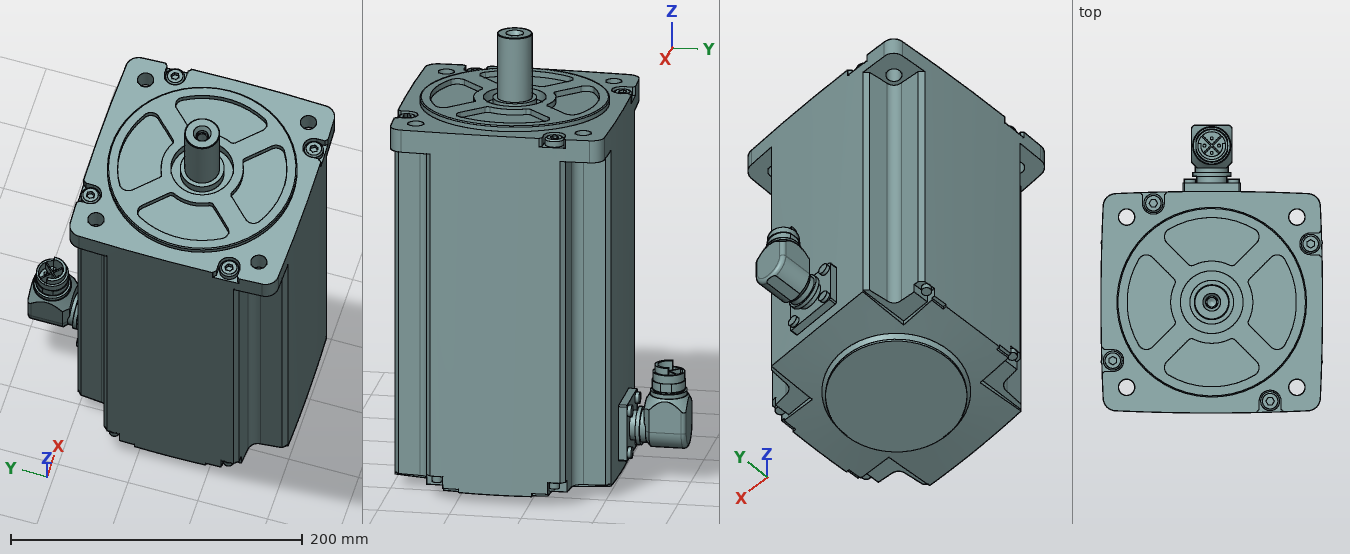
import cadquery as cq
import math

HALF_WIDTH = 76.0
CORNER_RADIUS = 9.0
CORNER_START = 65.5
SIDE_BOW = 1.5
FLANGE_THICKNESS = 15.9
BOTTOM_Z = -266.5

NOTCH_EDGE = 45.2
NOTCH_CHAMFER = (72.1, 48.5)
NOTCH_FILLET_CENTER = 57.0
NOTCH_FILLET_RADIUS = 7.0

UNDERSIDE_Z_AT_SIDE = -258.9
UNDERSIDE_SLOPE = 0.09
UNDERSIDE_OUTER_RADIUS = 110.0
SHOULDER_RADIUS = 51.0
FOOT_RADIUS = 48.5
FOOT_TOP_Z = -264.5

PILOT_DIAMETER = 130.0
PILOT_HEIGHT = 4.0
PILOT_CHAMFER = 0.8
SEAL_RECESS_DIAMETER = 43.0
SEAL_RECESS_DEPTH = 7.0
COLLAR_DIAMETER = 30.0
COLLAR_HEIGHT = 6.8
SHAFT_DIAMETER = 24.0
SHAFT_TOP_Z = 50.0
SHAFT_CHAMFER = 0.5
CENTER_MOUTH_DIAMETER = 12.2
CENTER_RELIEF_DIAMETER = 8.4
CENTER_RELIEF_DEPTH = 6.0
CENTER_BORE_DIAMETER = 6.65
CENTER_BORE_DEPTH = 22.0
CENTER_CONE_HALF_ANGLE = 30.0
DRILL_HALF_ANGLE = 59.0

POCKET_OUTER_RADIUS = 58.0
POCKET_INNER_RADIUS = 28.2
POCKET_RIB_WIDTH = 14.0
POCKET_OUTER_FILLET = 6.0
POCKET_INNER_FILLET = 3.0
POCKET_DEPTH = 4.0

BOLT_CIRCLE_DIAMETER = 165.0
BOLT_HOLE_DIAMETER = 11.0
SCREW_OFFSET = (40.0, -67.8)
SCREW_SEAT_WIDTH = 15.0
SCREW_SEAT_DEPTH = 6.2
SCREW_SEAT_MOUTH_WIDTH = 18.8
SCREW_SEAT_FLARE_LENGTH = 2.0
SCREW_HEAD_DIAMETER = 13.0
SCREW_HEAD_TOP_Z = -1.0
SCREW_HEAD_CHAMFER = 1.2
SCREW_HEX_FLATS = 5.0
SCREW_HEX_DEPTH = 3.0

REAR_SEAT_INNER_X = 68.5
REAR_SEAT_INNER_Y = 36.4
REAR_SEAT_TOP_Z = -247.9
COVER_JOINT_Z = -256.2
REAR_HEAD_DIAMETER = 7.0
REAR_HEAD_HEIGHT = 4.3
COVER_RELIEF_INNER_Y = 25.5
COVER_RELIEF_DEPTH = 3.0

CONNECTOR_Z = -227.8
CONNECTOR_END_Y = 121.39
BASE_SIZE = (39.6, 40.4)
BASE_TOP_Y = 81.7
BASE_OVERLAP = 1.0
BASE_CHAMFER = 1.0
BASE_SCREW_OFFSET = 15.0
BASE_SCREW_DIAMETER = 8.0
BASE_SCREW_TOP_Y = 84.4
NECK_STEPS = ((20.6, 86.2), (26.4, 89.0), (22.9, 93.0))
ELBOW_RADIUS = 14.0
ELBOW_START_Y = 91.9
ELBOW_TOP_Z = -203.6
ELBOW_BOTTOM_Z = -241.1
ELBOW_OUTER_FILLET = 3.0
ELBOW_INNER_CHAMFER = 4.0
OUTLET_Y = 107.3
CONE_TOP_RADIUS = 13.1
CONE_SLOPE = 0.6
OUTLET_STEPS = ((25.2, -200.6), (21.95, -199.6), (22.9, -193.3), (21.95, -187.4))
NUT_STEP = 2
NUT_FLAT_X = 10.8
SOCKET_DIAMETER = 19.0
SOCKET_DEPTH = 8.0
CROSS_WALL = 0.99
KEY_TOP_Z = -182.6
KEY_INNER_DIAMETER = 15.0
KEY_EDGE_Y = 108.6
PIN_DIAMETER = 1.99
PIN_HEIGHT = 5.0
PIN_CIRCLE_DIAMETER = 10.0

OVERCUT = 10.0


def bowed(distance):
    """Half width of the housing at a distance from the middle of a side."""
    radius = (CORNER_START**2 + SIDE_BOW**2) / (2 * SIDE_BOW)
    return HALF_WIDTH - radius + math.sqrt(radius**2 - distance**2)


def turned(point, quarter):
    """Rotate an XY point about Z by quarter turns."""
    x, y = point
    for _ in range(quarter):
        x, y = -y, x
    return (x, y)


def spun(feature, quarter):
    """Rotate a solid about Z by quarter turns."""
    return feature.rotate((0, 0, 0), (0, 0, 1), 90 * quarter)


def bar(diameter, z_low, z_high, x=0, y=0):
    """Round bar along Z."""
    return cq.Workplane("XY", origin=(x, y, z_low)).circle(diameter / 2).extrude(z_high - z_low)


def y_bar(diameter, y_low, y_high, x=0, z=CONNECTOR_Z):
    """Round bar along Y."""
    plane = cq.Workplane("XZ", origin=(x, y_low, z))
    return plane.circle(diameter / 2).extrude(-(y_high - y_low))


def block(x_range, y_range, z_range):
    """Rectangular block between two limits on each axis."""
    sizes = [high - low for low, high in (x_range, y_range, z_range)]
    corner = (x_range[0], y_range[0], z_range[0])
    return cq.Workplane("XY").box(*sizes, centered=False).translate(corner)


def make_flange():
    edge = bowed(CORNER_START)
    reach = CORNER_START + CORNER_RADIUS * math.sqrt(0.5)
    outline = cq.Workplane("XY", origin=(0, 0, -FLANGE_THICKNESS)).moveTo(edge, -CORNER_START)
    for quarter in range(4):
        outline = outline.threePointArc(
            turned((HALF_WIDTH, 0), quarter), turned((edge, CORNER_START), quarter)
        )
        outline = outline.threePointArc(
            turned((reach, reach), quarter), turned((CORNER_START, edge), quarter)
        )
    flange = outline.close().extrude(FLANGE_THICKNESS)
    hole = BOLT_CIRCLE_DIAMETER / 2 * math.sqrt(0.5)
    places = [turned((hole, hole), quarter) for quarter in range(4)]
    holes = cq.Workplane("XY").pushPoints(places).circle(BOLT_HOLE_DIAMETER / 2)
    return flange.cut(holes.extrude(-FLANGE_THICKNESS))


def make_housing():
    side = bowed(NOTCH_EDGE)
    center = NOTCH_FILLET_CENTER
    tangent = center - NOTCH_FILLET_RADIUS
    deepest = center - NOTCH_FILLET_RADIUS * math.sqrt(0.5)
    outline = cq.Workplane("XY", origin=(0, 0, BOTTOM_Z)).moveTo(side, -NOTCH_EDGE)
    for quarter in range(4):
        outline = outline.threePointArc(
            turned((HALF_WIDTH, 0), quarter), turned((side, NOTCH_EDGE), quarter)
        )
        outline = outline.lineTo(*turned(NOTCH_CHAMFER, quarter))
        outline = outline.lineTo(*turned((center, tangent), quarter))
        outline = outline.threePointArc(
            turned((deepest, deepest), quarter), turned((tangent, center), quarter)
        )
        outline = outline.lineTo(*turned(NOTCH_CHAMFER[::-1], quarter))
        outline = outline.lineTo(*turned((NOTCH_EDGE, side), quarter))
    housing = outline.close().extrude(-FLANGE_THICKNESS - BOTTOM_Z)
    return housing.intersect(make_underside_envelope())


def make_underside_envelope():
    """Solid of revolution that shapes the conical underside and the foot."""
    def underside_z(radius):
        return UNDERSIDE_Z_AT_SIDE + UNDERSIDE_SLOPE * (radius - HALF_WIDTH)

    profile = [
        (0, BOTTOM_Z),
        (FOOT_RADIUS, BOTTOM_Z),
        (FOOT_RADIUS, FOOT_TOP_Z),
        (SHOULDER_RADIUS, underside_z(SHOULDER_RADIUS)),
        (UNDERSIDE_OUTER_RADIUS, underside_z(UNDERSIDE_OUTER_RADIUS)),
        (UNDERSIDE_OUTER_RADIUS, 0),
        (0, 0),
    ]
    return cq.Workplane("XZ").polyline(profile).close().revolve(360, (0, 0), (0, 1))


def make_pilot():
    pilot = bar(PILOT_DIAMETER, 0, PILOT_HEIGHT)
    return pilot.faces(">Z").edges().chamfer(PILOT_CHAMFER)


def make_face_pocket():
    """Sector-shaped pocket on the +Y side of the pilot face."""
    floor = PILOT_HEIGHT - POCKET_DEPTH
    sector = bar(2 * POCKET_OUTER_RADIUS, floor, PILOT_HEIGHT)
    sector = sector.cut(bar(2 * POCKET_INNER_RADIUS, floor, PILOT_HEIGHT))
    apex = POCKET_RIB_WIDTH * math.sqrt(0.5)
    far = PILOT_DIAMETER
    wedge = cq.Workplane("XY", origin=(0, 0, floor))
    wedge = wedge.polyline([(0, apex), (far, apex + far), (-far, apex + far)]).close()
    sector = sector.intersect(wedge.extrude(POCKET_DEPTH))
    middle_y = (POCKET_OUTER_RADIUS + POCKET_INNER_RADIUS) / 2
    zone = cq.selectors.BoxSelector
    outer = zone((-far, middle_y, -far), (far, far, far))
    inner = zone((-far, 0, -far), (far, middle_y - POCKET_OUTER_FILLET, far))
    sector = sector.edges("|Z").edges(outer).fillet(POCKET_OUTER_FILLET)
    return sector.edges("|Z").edges(inner).fillet(POCKET_INNER_FILLET)


def make_shaft():
    collar_low = PILOT_HEIGHT - SEAL_RECESS_DEPTH
    shaft = bar(SHAFT_DIAMETER, collar_low, SHAFT_TOP_Z)
    shaft = shaft.faces(">Z").edges().chamfer(SHAFT_CHAMFER)
    shaft = shaft.union(bar(COLLAR_DIAMETER, collar_low, collar_low + COLLAR_HEIGHT))
    return shaft.cut(make_center_hole())


def make_center_hole():
    mouth = CENTER_MOUTH_DIAMETER / 2
    relief = CENTER_RELIEF_DIAMETER / 2
    bore = CENTER_BORE_DIAMETER / 2
    cone_bottom = SHAFT_TOP_Z - (mouth - relief) / math.tan(math.radians(CENTER_CONE_HALF_ANGLE))
    relief_bottom = SHAFT_TOP_Z - CENTER_RELIEF_DEPTH
    bore_bottom = SHAFT_TOP_Z - CENTER_BORE_DEPTH
    tip = bore_bottom - bore / math.tan(math.radians(DRILL_HALF_ANGLE))
    profile = [
        (0, SHAFT_TOP_Z),
        (mouth, SHAFT_TOP_Z),
        (relief, cone_bottom),
        (relief, relief_bottom),
        (bore, relief_bottom),
        (bore, bore_bottom),
        (0, tip),
    ]
    return cq.Workplane("XZ").polyline(profile).close().revolve(360, (0, 0), (0, 1))


def make_screw_seat():
    """Seat open to the -Y side, with a flared mouth."""
    x, y = SCREW_OFFSET
    half = SCREW_SEAT_WIDTH / 2
    mouth = SCREW_SEAT_MOUTH_WIDTH / 2
    side_y = -bowed(x)
    outside_y = side_y - OVERCUT
    flare_y = side_y + SCREW_SEAT_FLARE_LENGTH
    seat = cq.Workplane("XY").moveTo(x - half, y).lineTo(x - half, flare_y)
    seat = seat.lineTo(x - mouth, side_y).lineTo(x - mouth, outside_y)
    seat = seat.lineTo(x + mouth, outside_y).lineTo(x + mouth, side_y)
    seat = seat.lineTo(x + half, flare_y).lineTo(x + half, y)
    seat = seat.threePointArc((x, y + half), (x - half, y)).close()
    return seat.extrude(-SCREW_SEAT_DEPTH)


def make_flange_screw():
    x, y = SCREW_OFFSET
    head = bar(SCREW_HEAD_DIAMETER, -SCREW_SEAT_DEPTH, SCREW_HEAD_TOP_Z, x, y)
    head = head.faces(">Z").edges().chamfer(SCREW_HEAD_CHAMFER)
    across_corners = SCREW_HEX_FLATS / math.cos(math.radians(30))
    hexagon = cq.Workplane("XY", origin=(x, y, SCREW_HEAD_TOP_Z)).polygon(6, across_corners)
    return head.cut(hexagon.extrude(-SCREW_HEX_DEPTH))


def add_rear_cover_screws(body):
    outside = HALF_WIDTH + OVERCUT
    head_x = (REAR_SEAT_INNER_X + HALF_WIDTH) / 2
    head_y = (REAR_SEAT_INNER_Y + NOTCH_EDGE) / 2
    seat = block(
        (REAR_SEAT_INNER_X, outside),
        (REAR_SEAT_INNER_Y, NOTCH_EDGE + OVERCUT),
        (COVER_JOINT_Z, REAR_SEAT_TOP_Z),
    )
    relief = block(
        (HALF_WIDTH - COVER_RELIEF_DEPTH, outside),
        (COVER_RELIEF_INNER_Y, REAR_SEAT_INNER_Y),
        (BOTTOM_Z, COVER_JOINT_Z),
    )
    corner = block((NOTCH_EDGE, outside), (REAR_SEAT_INNER_Y, outside), (BOTTOM_Z, COVER_JOINT_Z))
    head_low = REAR_SEAT_TOP_Z - REAR_HEAD_HEIGHT
    head = bar(REAR_HEAD_DIAMETER, head_low, REAR_SEAT_TOP_Z, head_x, head_y)
    for mirror_x in (False, True):
        for mirror_y in (False, True):
            parts = [seat, relief, corner, head]
            if mirror_x:
                parts = [part.mirror("YZ") for part in parts]
            if mirror_y:
                parts = [part.mirror("XZ") for part in parts]
            for recess in parts[:3]:
                body = body.cut(recess)
            body = body.union(parts[3])
    return body


def make_connector_base():
    width, height = BASE_SIZE
    start_y = HALF_WIDTH - BASE_OVERLAP
    base = cq.Workplane("XZ", origin=(0, start_y, CONNECTOR_Z)).rect(width, height)
    base = base.extrude(-(BASE_TOP_Y - start_y)).edges("|Y").chamfer(BASE_CHAMFER)
    for side in (-1, 1):
        for level in (-1, 1):
            x = side * BASE_SCREW_OFFSET
            z = CONNECTOR_Z + level * BASE_SCREW_OFFSET
            base = base.union(y_bar(BASE_SCREW_DIAMETER, BASE_TOP_Y, BASE_SCREW_TOP_Y, x, z))
    y = BASE_TOP_Y
    for diameter, end_y in NECK_STEPS:
        base = base.union(y_bar(diameter, y, end_y))
        y = end_y
    return base


def make_elbow():
    """Elbow body: round below with a flat bottom, flat sided above, topped by a cone."""
    y_range = (ELBOW_START_Y, CONNECTOR_END_Y)
    elbow = block((-ELBOW_RADIUS, ELBOW_RADIUS), y_range, (CONNECTOR_Z, ELBOW_TOP_Z))
    elbow = elbow.union(y_bar(2 * ELBOW_RADIUS, *y_range))
    elbow = elbow.faces(">Y").edges("not >Z").fillet(ELBOW_OUTER_FILLET)
    elbow = elbow.faces("<Y").edges("not >Z").chamfer(ELBOW_INNER_CHAMFER)
    low_radius = CONE_TOP_RADIUS + CONE_SLOPE * (ELBOW_TOP_Z - ELBOW_BOTTOM_Z)
    profile = [
        (0, ELBOW_BOTTOM_Z),
        (low_radius, ELBOW_BOTTOM_Z),
        (CONE_TOP_RADIUS, ELBOW_TOP_Z),
        (0, ELBOW_TOP_Z),
    ]
    cone = cq.Workplane("XZ", origin=(0, OUTLET_Y, 0)).polyline(profile).close()
    return elbow.intersect(cone.revolve(360, (0, 0), (0, 1)))


def make_outlet():
    """Ringed outlet with a socket, a cross divider, a raised half-tube key and pins."""
    z = ELBOW_TOP_Z
    outlet = None
    for index, (diameter, top_z) in enumerate(OUTLET_STEPS):
        ring = bar(diameter, z, top_z, 0, OUTLET_Y)
        if index == NUT_STEP:
            y_range = (OUTLET_Y - diameter, OUTLET_Y + diameter)
            ring = ring.intersect(block((-NUT_FLAT_X, NUT_FLAT_X), y_range, (z, top_z)))
        outlet = ring if outlet is None else outlet.union(ring)
        z = top_z
    rim_z = z
    floor_z = rim_z - SOCKET_DEPTH
    socket = bar(SOCKET_DIAMETER, floor_z, KEY_TOP_Z, 0, OUTLET_Y)
    outlet = outlet.cut(socket)
    for angle in (45, 135):
        wall_x = (-SOCKET_DIAMETER / 2, SOCKET_DIAMETER / 2)
        wall = block(wall_x, (-CROSS_WALL / 2, CROSS_WALL / 2), (floor_z, rim_z))
        wall = wall.rotate((0, 0, 0), (0, 0, 1), angle).translate((0, OUTLET_Y, 0))
        outlet = outlet.union(wall.intersect(socket))
    key = socket.cut(bar(KEY_INNER_DIAMETER, floor_z, KEY_TOP_Z, 0, OUTLET_Y))
    key_y = (OUTLET_Y - SOCKET_DIAMETER, KEY_EDGE_Y)
    key_zone = block((-SOCKET_DIAMETER, SOCKET_DIAMETER), key_y, (floor_z, KEY_TOP_Z))
    outlet = outlet.union(key.intersect(key_zone))
    for angle in (0, 90, 180, 270):
        x = PIN_CIRCLE_DIAMETER / 2 * math.cos(math.radians(angle))
        y = OUTLET_Y + PIN_CIRCLE_DIAMETER / 2 * math.sin(math.radians(angle))
        outlet = outlet.union(bar(PIN_DIAMETER, floor_z, floor_z + PIN_HEIGHT, x, y))
    return outlet


result = make_housing().union(make_flange()).union(make_pilot())
result = result.cut(bar(SEAL_RECESS_DIAMETER, PILOT_HEIGHT - SEAL_RECESS_DEPTH, PILOT_HEIGHT))
result = result.union(make_shaft())
for quarter_turn in range(4):
    result = result.cut(spun(make_face_pocket(), quarter_turn))
    result = result.cut(spun(make_screw_seat(), quarter_turn))
    result = result.union(spun(make_flange_screw(), quarter_turn))
result = add_rear_cover_screws(result)
result = result.union(make_connector_base()).union(make_elbow()).union(make_outlet())